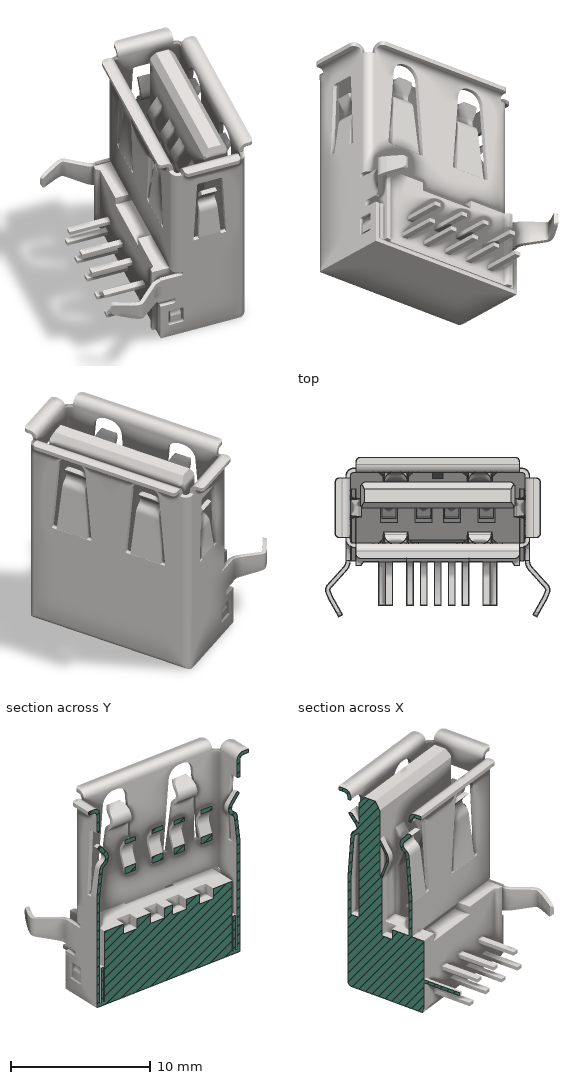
import cadquery as cq
import math

SHEET = 0.31
HALF_X = 6.6
HALF_Y = 2.85
CORNER_R = 0.6
SHELL_TOP = 15.72
FRONT_WALL_BOTTOM = 6.08
SIDE_FRONT_Y = -3.77
BOTTOM_BEND_R = 0.4
INNER_X = HALF_X - SHEET
INNER_Y = HALF_Y - SHEET

LIP_TOP = 16.48
LIP_REACH = 0.77
LIP_BEND_R = 0.26
LIP_CORNER_R = 0.31
LIP_HALF_FRONT = 5.87
LIP_HALF_SIDE = 2.15

FINGER_BOTTOM = 8.92
FINGER_X = 3.02
FINGER_BEND_R = 0.38
SIDE_FINGER_PATH = [(0, FINGER_BOTTOM), (0, 9.06), (0.28, 11.45), (1.02, 12.01), (0.03, 13.25)]
FACE_FINGER_PATH = [(0, FINGER_BOTTOM), (0.3, 12.92), (1.05, 13.45), (0.03, 14.63)]

SIDE_FINGER_OUTLINE = (0.84, 0.58, 13.32, 0.13)
FACE_FINGER_OUTLINE = (1.24, 0.75, 14.77, 0.74)
SIDE_WINDOW_OUTLINE = (1.25, 0.97, 14.44, 0.16)
FACE_WINDOW_OUTLINE = (1.63, 1.05, SHELL_TOP, 1.02)
FACE_WINDOW_BOTTOM_R = 0.12
CUT_MARGIN = 0.16

UPPER_SLOT_HEIGHT = 0.33
UPPER_SLOT_END_Y = -2.06
UPPER_SLOT_R = 0.1
LOWER_SLOT_BOTTOM = 3.16
LOWER_SLOT_HEIGHT = 0.53
LOWER_SLOT_END_Y = -2.62
LOWER_SLOT_R = 0.23

LEG_Z = 4.71
LEG_ROOT_HALF = 0.97
LEG_TIP_HALF = 0.46
LEG_TIP_Y = -7.83
LEG_TIP_R = 0.38
LEG_ROOT_BEND_R = 0.77
LEG_KNEE_R = 0.25
LEG_ELBOW_Y = 4.14
LEG_KNEE = (-7.96, 5.82)
LEG_CROOK = (-7.7, 6.46)
LEG_END = (-6.97, 7.75)

LATCH_Y = -2.59
LATCH_Z = 1.81
LATCH_WINDOW = (1.19, 1.4)
LATCH_WINDOW_R = 0.12
LATCH_BUMP_WIDTH = 0.79
LATCH_BUMP_BOTTOM = 1.3
LATCH_BUMP_MIDDLE = 1.88
LATCH_BUMP_TOP = 2.49
LATCH_BUMP_RISE = 0.23

FLOOR_Z = FRONT_WALL_BOTTOM
BLOCK_HALF_X = 5.87
BLOCK_FRONT_Y = -3.87
RIDGE_FRONT_Y = -4.15
RIDGE_WIDTH = 0.35
RIDGE_SLOPE = 0.2
WING_TOP = LOWER_SLOT_BOTTOM
WING_FRONT_Y = -3.82
WING_BACK_Y = 1.35
WING_GAP = 0.1
WING_GROOVE = 0.05
NOTCH_HALF_X = 2.24
NOTCH_BOTTOM = 5.44
NOTCH_BACK_Y = -2.5
NOTCH_BEVEL = (0.18, 0.15)

BLADE_HALF_X = 5.54
BLADE_BACK_Y = 1.86
BLADE_TOP = 16.36
BLADE_BEVEL_HEIGHT = 0.66
BLADE_TIP_HALF_X = 5.27
BLADE_TIP_FRONT_Y = 0.4
BLADE_TIP_BACK_Y = 1.35
BLADE_BACK_CORNER = 0.26
BLADE_FRONT_CORNER = 0.15

TAB_HALF_X = 0.36
TAB_FRONT_Y = 2.11
TAB_HEIGHT = 0.99

CONTACT_X = (-3.5, -1.0, 1.0, 3.5)
CONTACT_WIDTH = 1.02
CONTACT_SHEET = 0.2
CONTACT_BEND_R = 0.82
POCKET_WIDTH = 1.22
POCKET_REACH = 1.07
POCKET_BOTTOM = FLOOR_Z - 0.82
CONTACT_PATH = [(0.08, POCKET_BOTTOM), (0.08, 10.05), (0.77, 11.9), (-0.1, 13.27)]

PIN_SIZE = (0.5, 0.3)
PIN_TIP_Y = -7.0
UPPER_ROW_Z = 2.7
LOWER_ROW_Z = 1.2
LOWER_ROW_PITCH = 2.0
LOWER_ROW_STEPS = (-2, -1, 0, 1, 2)


def box(x0, x1, y0, y1, z0, z1):
    """Axis-aligned block between two opposite corners."""
    return cq.Workplane("XY").box(x1 - x0, y1 - y0, z1 - z0, centered=False).translate((x0, y0, z0))


def both_sides(left_part):
    """A part together with its mirror image across the YZ plane."""
    return left_part.union(left_part.mirror("YZ"))


def offset_path(points, distance):
    """Parallel copy of an open polyline, mitred at its corners."""
    angles = [math.atan2(b[1] - a[1], b[0] - a[0]) for a, b in zip(points, points[1:])]
    before = [angles[0]] + angles
    after = angles + [angles[-1]]
    shifted = []
    for (u, v), a, b in zip(points, before, after):
        reach = distance / math.cos((b - a) / 2)
        middle = (a + b) / 2
        shifted.append((u - reach * math.sin(middle), v + reach * math.cos(middle)))
    return shifted


def bent_strip(points, thickness, width, bend_radii):
    """Bent sheet strip: centre line in XZ, width along Y.

    One inside bend radius is given per corner; 0 leaves that corner sharp.
    """
    left = offset_path(points, thickness / 2)
    right = offset_path(points, -thickness / 2)
    strip = cq.Workplane("XZ").polyline(left + right[::-1]).close().extrude(width / 2, both=True)
    for i, bend_radius in enumerate(bend_radii, start=1):
        if bend_radius == 0:
            continue
        (ax, az), (bx, bz), (cx, cz) = points[i - 1:i + 2]
        turns_left = (bx - ax) * (cz - bz) - (bz - az) * (cx - bx) > 0
        inside, outside = (left[i], right[i]) if turns_left else (right[i], left[i])
        for (x, z), radius in ((inside, bend_radius), (outside, bend_radius + thickness)):
            corner = cq.selectors.NearestToPointSelector((x, 0, z))
            strip = strip.edges("|Y").edges(corner).fillet(radius)
    return strip


def tapered_panel(outline, x0, x1):
    """Tapered upright panel across Y, spanning x0 to x1, with rounded top corners."""
    bottom_half, top_half, top, top_radius = outline
    corners = [
        (-bottom_half, FINGER_BOTTOM),
        (bottom_half, FINGER_BOTTOM),
        (top_half, top),
        (-top_half, top),
    ]
    panel = cq.Workplane("YZ").polyline(corners).close().extrude(x1 - x0).translate((x0, 0, 0))
    return panel.edges("|X and >Z").fillet(top_radius)


def make_lip(wall_half, half_width):
    """Outward-flared lip on the +X side of a wall at wall_half."""
    wall_mid = wall_half - SHEET / 2
    lip_mid = LIP_TOP - SHEET / 2
    path = [(wall_mid, SHELL_TOP), (wall_mid, lip_mid), (wall_half + LIP_REACH, lip_mid)]
    lip = bent_strip(path, SHEET, 2 * half_width, [LIP_BEND_R])
    return lip.faces(">X").edges("|Z").fillet(LIP_CORNER_R)


def make_shell_body():
    """Rounded sheet-metal tube with an open lower front and a folded bottom plate."""
    height = SHELL_TOP
    outer = cq.Workplane("XY").rect(2 * HALF_X, 2 * HALF_Y).extrude(height).edges("|Z").fillet(CORNER_R)
    inner = cq.Workplane("XY").rect(2 * INNER_X, 2 * INNER_Y).extrude(height)
    inner = inner.edges("|Z").fillet(CORNER_R - SHEET)
    bend_y = CORNER_R - HALF_Y
    body = outer.cut(inner)
    body = body.cut(box(-HALF_X, HALF_X, -HALF_Y, bend_y, 0, FRONT_WALL_BOTTOM))
    side_wall = box(-HALF_X, -INNER_X, SIDE_FRONT_Y, bend_y, 0, FRONT_WALL_BOTTOM)
    body = body.union(both_sides(side_wall))
    bottom_end = HALF_Y - CORNER_R
    body = body.union(box(-INNER_X, INNER_X, SIDE_FRONT_Y, bottom_end, 0, SHEET))
    body = body.union(outer.intersect(box(-HALF_X, HALF_X, bottom_end, HALF_Y, 0, SHEET)))
    envelope = box(-HALF_X, HALF_X, SIDE_FRONT_Y, HALF_Y, 0, height)
    return body.intersect(envelope.edges("|X and >Y and <Z").fillet(BOTTOM_BEND_R))


def cut_leg_slots(shell):
    """Slots that free the board leg from the side wall above and below it."""
    upper_bottom = FRONT_WALL_BOTTOM - UPPER_SLOT_HEIGHT
    upper = box(-HALF_X, HALF_X, SIDE_FRONT_Y, UPPER_SLOT_END_Y, upper_bottom, FRONT_WALL_BOTTOM)
    upper = upper.edges("|X and >Y").fillet(UPPER_SLOT_R)
    lower_top = LOWER_SLOT_BOTTOM + LOWER_SLOT_HEIGHT
    lower = box(-HALF_X, HALF_X, SIDE_FRONT_Y, LOWER_SLOT_END_Y, LOWER_SLOT_BOTTOM, lower_top)
    lower = lower.edges("|X and >Y").fillet(LOWER_SLOT_R)
    return shell.cut(upper).cut(lower)


def cut_latch_windows(shell):
    window = cq.Workplane("YZ").center(LATCH_Y, LATCH_Z).rect(*LATCH_WINDOW).extrude(HALF_X, both=True)
    return shell.cut(window.edges("|X").fillet(LATCH_WINDOW_R))


def make_finger(wall_half, path, bend_radii, outline):
    """Spring finger on the +X side: leans in, kinks to an apex, then flares back out."""
    wall_mid = wall_half - SHEET / 2
    points = [(wall_mid - inward, height) for inward, height in path]
    strip = bent_strip(points, SHEET, 4 * HALF_Y, bend_radii)
    return strip.intersect(outline)


def make_side_finger():
    outline = tapered_panel(SIDE_FINGER_OUTLINE, 0, HALF_X)
    return make_finger(HALF_X, SIDE_FINGER_PATH, [0, FINGER_BEND_R, FINGER_BEND_R], outline)


def make_face_finger():
    outline = tapered_panel(FACE_FINGER_OUTLINE, 0, HALF_Y)
    return make_finger(HALF_Y, FACE_FINGER_PATH, [FINGER_BEND_R, FINGER_BEND_R], outline)


def make_side_window():
    return tapered_panel(SIDE_WINDOW_OUTLINE, INNER_X - CUT_MARGIN, HALF_X + CUT_MARGIN)


def make_face_window():
    window = tapered_panel(FACE_WINDOW_OUTLINE, INNER_Y - CUT_MARGIN, HALF_Y + CUT_MARGIN)
    return window.edges("|X and <Z").fillet(FACE_WINDOW_BOTTOM_R)


def add_fingers(shell):
    placements = [(make_side_window(), make_side_finger(), (0, 0, 0), turn) for turn in (0, 180)]
    for turn in (90, 270):
        for shift in (-FINGER_X, FINGER_X):
            placements.append((make_face_window(), make_face_finger(), (0, shift, 0), turn))
    for window, finger, shift, turn in placements:
        shell = shell.cut(window.translate(shift).rotate((0, 0, 0), (0, 0, 1), turn))
        shell = shell.union(finger.translate(shift).rotate((0, 0, 0), (0, 0, 1), turn))
    return shell


def make_leg():
    """Left board leg: a tapered strip that bows outward and returns at its tip."""
    wall_mid = -HALF_X + SHEET / 2
    path = [(wall_mid, -LOWER_SLOT_END_Y), (wall_mid, LEG_ELBOW_Y), LEG_KNEE, LEG_CROOK, LEG_END]
    strip = bent_strip(path, SHEET, 4 * LEG_ROOT_HALF, [LEG_ROOT_BEND_R, LEG_KNEE_R, 0])
    strip = strip.rotate((0, 0, 0), (1, 0, 0), 90).translate((0, 0, LEG_Z))
    outline = [
        (SIDE_FRONT_Y, LEG_Z - LEG_ROOT_HALF),
        (SIDE_FRONT_Y, LEG_Z + LEG_ROOT_HALF),
        (LEG_TIP_Y, LEG_Z + LEG_TIP_HALF),
        (LEG_TIP_Y, LEG_Z - LEG_TIP_HALF),
    ]
    taper = cq.Workplane("YZ").polyline(outline).close().extrude(-2 * HALF_X)
    return strip.intersect(taper.edges("|X and <Y").fillet(LEG_TIP_R))


def make_shell():
    shell = cut_latch_windows(cut_leg_slots(make_shell_body()))
    for turn in (0, 180):
        shell = shell.union(make_lip(HALF_X, LIP_HALF_SIDE).rotate((0, 0, 0), (0, 0, 1), turn))
        shell = shell.union(make_lip(HALF_Y, LIP_HALF_FRONT).rotate((0, 0, 0), (0, 0, 1), turn + 90))
    return add_fingers(shell).union(both_sides(make_leg()))


def make_block():
    """Body of the insulator, with a raised ridge along each front edge."""
    ridge_inner = BLOCK_HALF_X - RIDGE_WIDTH
    face_half = ridge_inner - RIDGE_SLOPE
    outline = [
        (-BLOCK_HALF_X, INNER_Y),
        (-BLOCK_HALF_X, RIDGE_FRONT_Y),
        (-ridge_inner, RIDGE_FRONT_Y),
        (-face_half, BLOCK_FRONT_Y),
        (face_half, BLOCK_FRONT_Y),
        (ridge_inner, RIDGE_FRONT_Y),
        (BLOCK_HALF_X, RIDGE_FRONT_Y),
        (BLOCK_HALF_X, INNER_Y),
    ]
    block = cq.Workplane("XY").workplane(offset=SHEET).polyline(outline).close()
    block = block.extrude(FLOOR_Z - SHEET)
    back_fill = box(-INNER_X, INNER_X, WING_BACK_Y, INNER_Y, SHEET, FLOOR_Z)
    return block.union(back_fill)


def make_wing():
    """Left wing of the insulator: a low rail standing clear of the side wall and the block."""
    outer = -INNER_X + WING_GAP
    inner = -BLOCK_HALF_X - WING_GROOVE
    return box(outer, inner, WING_FRONT_Y, WING_BACK_Y, SHEET, WING_TOP)


def make_latch_bump():
    """Ramped bump on the left wing that snaps into the latch window."""
    root = -INNER_X + WING_GAP
    crest = -INNER_X - LATCH_BUMP_RISE
    profile = [
        (root, LATCH_BUMP_BOTTOM),
        (crest, LATCH_BUMP_BOTTOM),
        (crest, LATCH_BUMP_MIDDLE),
        (root, LATCH_BUMP_TOP),
    ]
    bump = cq.Workplane("XZ").polyline(profile).close().extrude(LATCH_BUMP_WIDTH / 2, both=True)
    return bump.translate((0, LATCH_Y, 0))


def make_notch():
    """Notch through the top front edge of the block, bevelled where it meets the cavity floor."""
    bevel_depth, bevel_height = NOTCH_BEVEL
    profile = [
        (RIDGE_FRONT_Y, NOTCH_BOTTOM),
        (NOTCH_BACK_Y, NOTCH_BOTTOM),
        (NOTCH_BACK_Y, FLOOR_Z - bevel_height),
        (NOTCH_BACK_Y + bevel_depth, FLOOR_Z),
        (RIDGE_FRONT_Y, FLOOR_Z),
    ]
    return cq.Workplane("YZ").polyline(profile).close().extrude(NOTCH_HALF_X, both=True)


def make_blade():
    """Contact blade standing in the cavity, with a bevelled tip."""
    shoulder = BLADE_TOP - BLADE_BEVEL_HEIGHT
    blade = box(-BLADE_HALF_X, BLADE_HALF_X, 0, BLADE_BACK_Y, FLOOR_Z, shoulder)
    tip = (
        cq.Workplane("XY")
        .workplane(offset=shoulder)
        .center(0, BLADE_BACK_Y / 2)
        .rect(2 * BLADE_HALF_X, BLADE_BACK_Y)
        .workplane(offset=BLADE_BEVEL_HEIGHT)
        .center(0, (BLADE_TIP_FRONT_Y + BLADE_TIP_BACK_Y - BLADE_BACK_Y) / 2)
        .rect(2 * BLADE_TIP_HALF_X, BLADE_TIP_BACK_Y - BLADE_TIP_FRONT_Y)
        .loft(ruled=True)
    )
    envelope = box(-BLADE_HALF_X, BLADE_HALF_X, 0, BLADE_BACK_Y, FLOOR_Z, BLADE_TOP)
    envelope = envelope.edges("|Z and >Y").chamfer(BLADE_BACK_CORNER)
    envelope = envelope.edges("|Z and <Y").chamfer(BLADE_FRONT_CORNER)
    return blade.union(tip).intersect(envelope)


def make_back_tab():
    """Small ramped tab that holds the insulator against the back wall."""
    profile = [(INNER_Y, FLOOR_Z), (TAB_FRONT_Y, FLOOR_Z), (INNER_Y, FLOOR_Z + TAB_HEIGHT)]
    return cq.Workplane("YZ").polyline(profile).close().extrude(TAB_HALF_X, both=True)


def make_insulator():
    insulator = make_block().union(both_sides(make_wing())).union(both_sides(make_latch_bump()))
    insulator = insulator.cut(make_notch()).union(make_blade()).union(make_back_tab())
    half = POCKET_WIDTH / 2
    for x in CONTACT_X:
        pocket = box(x - half, x + half, -POCKET_REACH, 0, POCKET_BOTTOM, FLOOR_Z)
        insulator = insulator.cut(pocket)
    return insulator


def make_contact():
    """Spring contact bowed out from the front face of the blade."""
    contact = bent_strip(CONTACT_PATH, CONTACT_SHEET, CONTACT_WIDTH, [CONTACT_BEND_R] * 2)
    return contact.rotate((0, 0, 0), (0, 0, 1), -90)


def make_pin(x, z):
    width, height = PIN_SIZE
    return box(x - width / 2, x + width / 2, PIN_TIP_Y, BLOCK_FRONT_Y, z - height / 2, z + height / 2)


result = make_shell().union(make_insulator())
for contact_x in CONTACT_X:
    result = result.union(make_contact().translate((contact_x, 0, 0)))
    result = result.union(make_pin(contact_x, UPPER_ROW_Z))
for step in LOWER_ROW_STEPS:
    result = result.union(make_pin(step * LOWER_ROW_PITCH, LOWER_ROW_Z))